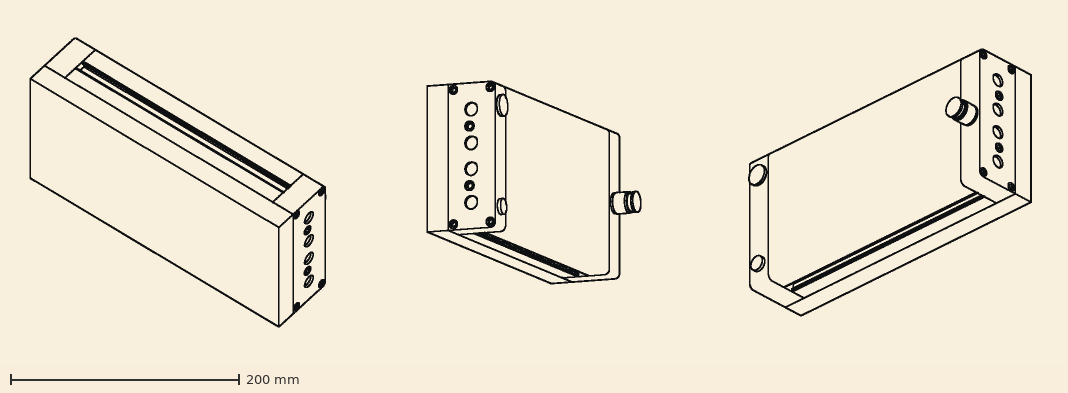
import cadquery as cq
import math

LENGTH = 280.0
HEIGHT = 130.0
BODY_DEPTH = 45.0
PAD_DEPTH = 20.0
CAP_LENGTH = 23.0
PROFILE_LENGTH = LENGTH - 2 * CAP_LENGTH
BACK_EDGE_RADIUS = 5.0

SLOT_Y = -25.0
SLOT_MOUTH_WIDTH = 10.2
SLOT_MOUTH_DEPTH = 0.8
SLOT_THROAT_WIDTH = 8.4
SLOT_THROAT_DEPTH = 2.5
SLOT_CAVITY_WIDTH = 13.0
SLOT_DEPTH = 8.5

CORNER_INSET_Y = 5.0
CORNER_INSET_Z = 5.2
CORNER_HEAD_DIAMETER = 7.5
CORNER_SOCKET_FLATS = 4.0

MIDDLE_SCREW_Y = -24.7
MIDDLE_SCREW_Z = 26.5
MIDDLE_HEAD_DIAMETER = 8.5
MIDDLE_SOCKET_FLATS = 5.0

HEAD_RECESS_DEPTH = 0.4
SOCKET_DEPTH = 3.0
HEX_SIDES = 6

PORT_Y = -23.0
PORT_OFFSET_Z = 15.0
PORT_DIAMETER = 11.8
PORT_DEPTH = 2.5

FITTING_SECTIONS = [
    (18.4, 2.0),
    (19.0, 11.3),
    (18.4, 1.9),
    (15.8, 4.0),
    (18.4, 2.0),
]

PLUG_Z = 45.0
LARGE_PLUG_SECTIONS = [(18.4, 0.4), (19.0, 2.6)]
SMALL_PLUG_SECTIONS = [(14.0, 3.0)]


def back_stack(x, z, sections):
    """Coaxial cylinders stacked along +Y from the back face."""
    stack = cq.Workplane("XY")
    y = 0.0
    for diameter, length in sections:
        plane = cq.Plane(origin=(x, y, z), xDir=(1, 0, 0), normal=(0, 1, 0))
        stack = stack.union(cq.Workplane(plane).circle(diameter / 2).extrude(length))
        y += length
    return stack


def body_block(x_center, length):
    """Length of the body section, rounded along its two back edges."""
    block = cq.Workplane("XY").box(length, BODY_DEPTH, HEIGHT)
    block = block.edges("|X and >Y").fillet(BACK_EDGE_RADIUS)
    return block.translate((x_center, -BODY_DEPTH / 2, 0))


def make_pad():
    pad = cq.Workplane("XY").box(LENGTH, PAD_DEPTH, HEIGHT)
    return pad.translate((0, -BODY_DEPTH - PAD_DEPTH / 2, 0))


def make_profile():
    """Middle section with a stepped T-slot along its top and its bottom."""
    profile = body_block(0, PROFILE_LENGTH)
    slot_steps = [
        (SLOT_MOUTH_WIDTH, 0, SLOT_MOUTH_DEPTH),
        (SLOT_THROAT_WIDTH, SLOT_MOUTH_DEPTH, SLOT_THROAT_DEPTH),
        (SLOT_CAVITY_WIDTH, SLOT_THROAT_DEPTH, SLOT_DEPTH),
    ]
    for side in (-1, 1):
        for width, start, end in slot_steps:
            step = cq.Workplane("XY").box(PROFILE_LENGTH, width, end - start)
            z = side * (HEIGHT - start - end) / 2
            profile = profile.cut(step.translate((0, SLOT_Y, z)))
    return profile


def make_cap(side):
    """End cap: side is -1 for the -X end and 1 for the +X end."""
    cap = body_block(side * (LENGTH - CAP_LENGTH) / 2, CAP_LENGTH)

    corner_z = HEIGHT / 2 - CORNER_INSET_Z
    corners = [
        (y, z)
        for y in (-CORNER_INSET_Y, CORNER_INSET_Y - BODY_DEPTH)
        for z in (-corner_z, corner_z)
    ]
    middles = [(MIDDLE_SCREW_Y, z) for z in (-MIDDLE_SCREW_Z, MIDDLE_SCREW_Z)]
    ports = [
        (PORT_Y, z + offset)
        for z in (-MIDDLE_SCREW_Z, MIDDLE_SCREW_Z)
        for offset in (-PORT_OFFSET_Z, PORT_OFFSET_Z)
    ]
    round_recesses = [
        (corners, CORNER_HEAD_DIAMETER, HEAD_RECESS_DEPTH),
        (middles, MIDDLE_HEAD_DIAMETER, HEAD_RECESS_DEPTH),
        (ports, PORT_DIAMETER, PORT_DEPTH),
    ]
    sockets = [
        (corners, CORNER_SOCKET_FLATS),
        (middles, MIDDLE_SOCKET_FLATS),
    ]
    end_face = cq.Workplane("YZ", origin=(side * LENGTH / 2, 0, 0))
    for places, diameter, depth in round_recesses:
        cap = cap.cut(end_face.pushPoints(places).circle(diameter / 2).extrude(-side * depth))
    for places, flats in sockets:
        hexagon = cq.Sketch().regularPolygon(flats / math.sqrt(3), HEX_SIDES)
        cap = cap.cut(end_face.pushPoints(places).placeSketch(hexagon).extrude(-side * SOCKET_DEPTH))
    return cap


fitting_x = (LENGTH - CAP_LENGTH) / 2

pad = make_pad()
profile = make_profile()
left_cap = make_cap(-1).union(back_stack(-fitting_x, 0, FITTING_SECTIONS))
right_cap = (
    make_cap(1)
    .union(back_stack(fitting_x, PLUG_Z, LARGE_PLUG_SECTIONS))
    .union(back_stack(fitting_x, -PLUG_Z, SMALL_PLUG_SECTIONS))
)

result = cq.Compound.makeCompound([pad.val(), profile.val(), left_cap.val(), right_cap.val()])